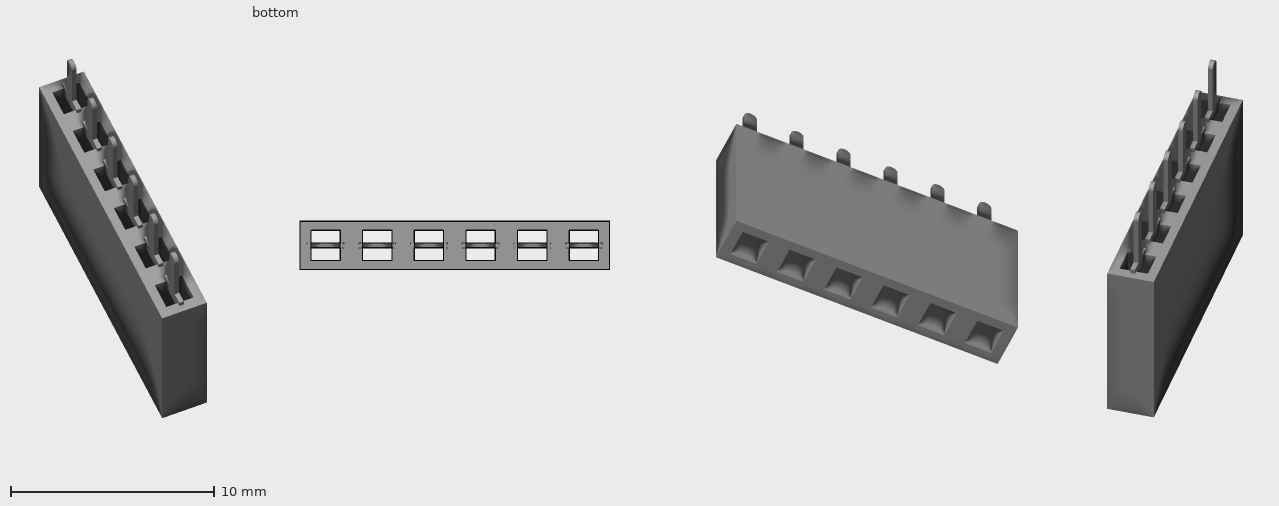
import cadquery as cq


contact_count = 6
housing_length = 15.24
pitch = housing_length / contact_count
contact_positions = [(i - (contact_count - 1) / 2) * pitch for i in range(contact_count)]

housing_depth = 2.4
housing_height = 8.43
cavity_width = 1.43
cavity_depth = 1.46

overall_height = 11.5
sheet_thickness = 0.25
blade_length = 0.47
shoulder_width = 1.81
shoulder_height = 0.25
tail_width = 0.65
tip_rise = 0.25


def make_housing():
    """Block with a rectangular cavity right through it for each terminal."""
    block = cq.Workplane("XY").box(
        housing_length, housing_depth, housing_height, centered=(True, True, False)
    )
    cavities = (
        cq.Workplane("XY")
        .pushPoints([(x, 0) for x in contact_positions])
        .rect(cavity_width, cavity_depth)
        .extrude(housing_height)
    )
    return block.cut(cavities)


def make_terminal(x):
    """Short blade filling the cavity width, shoulders resting on the housing, domed tail."""
    half_blade = cavity_width / 2
    blade_bottom = housing_height - blade_length
    half_shoulder = shoulder_width / 2
    half_tail = tail_width / 2
    shoulder_top = housing_height + shoulder_height
    outline = (
        cq.Workplane("XZ")
        .moveTo(-half_blade, blade_bottom)
        .lineTo(half_blade, blade_bottom)
        .lineTo(half_blade, housing_height)
        .lineTo(half_shoulder, housing_height)
        .lineTo(half_shoulder, shoulder_top)
        .lineTo(half_tail, shoulder_top)
        .lineTo(half_tail, overall_height - tip_rise)
        .threePointArc((0, overall_height), (-half_tail, overall_height - tip_rise))
        .lineTo(-half_tail, shoulder_top)
        .lineTo(-half_shoulder, shoulder_top)
        .lineTo(-half_shoulder, housing_height)
        .lineTo(-half_blade, housing_height)
        .close()
    )
    return outline.extrude(sheet_thickness / 2, both=True).translate((x, 0, 0))


housing = make_housing()
terminals = [make_terminal(x) for x in contact_positions]

result = cq.Compound.makeCompound([housing.val(), *[terminal.val() for terminal in terminals]])